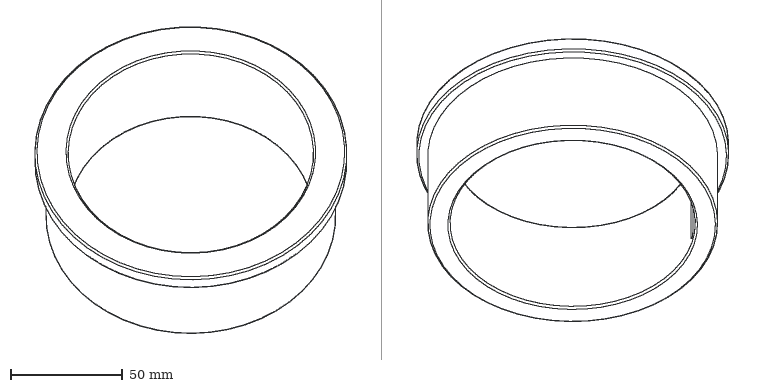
import cadquery as cq

flange_diameter = 140.0
body_diameter = 130.0
bore_diameter = 110.0
height = 50.0
flange_thickness = 8.0
edge_chamfer = 1.0
groove_width = 3.4
groove_length = 42.0


def disc(diameter, thickness, base_z, chamfered_edges):
    """Upright disc with the selected rim edges chamfered."""
    blank = cq.Workplane("XY", origin=(0, 0, base_z)).circle(diameter / 2).extrude(thickness)
    return blank.edges(chamfered_edges).chamfer(edge_chamfer)


def bore_groove():
    """Vertical round-ended cutter centred on the +X side of the bore wall, at mid height."""
    radius = groove_width / 2
    half_straight = groove_length / 2 - radius
    half_length = groove_length / 2
    profile = (
        cq.Workplane("XZ")
        .moveTo(0, -half_length)
        .radiusArc((radius, -half_straight), -radius)
        .lineTo(radius, half_straight)
        .radiusArc((0, half_length), -radius)
        .close()
    )
    capsule = profile.revolve(360, (0, 0), (0, 1))
    return capsule.translate((bore_diameter / 2, 0, height / 2))


flange = disc(flange_diameter, flange_thickness, height - flange_thickness, "%CIRCLE")
body = disc(body_diameter, height, 0, "<Z")
sleeve = flange.union(body)

sleeve = sleeve.cut(cq.Workplane("XY").circle(bore_diameter / 2).extrude(height))
bore_mouths = cq.selectors.RadiusNthSelector(0)
sleeve = sleeve.faces("<Z or >Z").edges(bore_mouths).chamfer(edge_chamfer)

result = sleeve.cut(bore_groove())